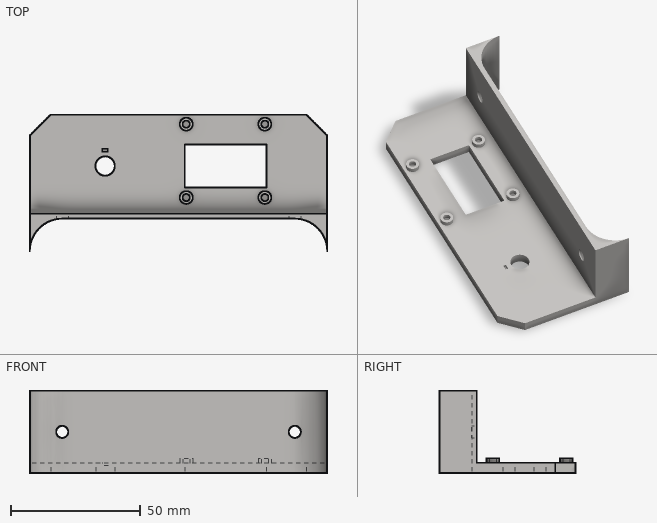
import cadquery as cq
import math

WIDTH = 115.0
DEPTH = 52.77
HEIGHT = 31.87

PLATE_THICKNESS = 4.0
PLATE_CHAMFER = 8.0

CORNER_RADIUS = 12.5
WALL_THICKNESS = 2.0
WALL_DEPTH = WALL_THICKNESS + CORNER_RADIUS
PLATE_DEPTH = DEPTH - WALL_DEPTH

MOUNT_HOLE_DIAMETER = 4.6
MOUNT_HOLE_SPACING = WIDTH - 2 * CORNER_RADIUS
MOUNT_HOLE_Z = HEIGHT / 2

WINDOW_LENGTH = 31.5
WINDOW_WIDTH = 16.6
DISPLAY_X = 18.2
WINDOW_Y = 18.4
BOSS_DIAMETER = 5.0
BOSS_BORE_DIAMETER = 2.8
BOSS_HEIGHT = 1.8
BOSS_SPACING_X = 30.4
BOSS_SPACING_Y = 28.4
BOSS_CENTRE_Y = 20.4

PANEL_HOLE_DIAMETER = 7.4
PANEL_HOLE_X = -28.4
PANEL_HOLE_Y = WINDOW_Y
POCKET_LENGTH = 2.1
POCKET_WIDTH = 1.1
POCKET_DEPTH = 1.0
POCKET_OFFSET = 6.1


def make_plate():
    """Flat plate with its two rear corners cut off."""
    plate = cq.Workplane("XY").box(WIDTH, PLATE_DEPTH, PLATE_THICKNESS, centered=(True, False, False))
    return plate.edges("|Z and >Y").chamfer(PLATE_CHAMFER)


def make_wall():
    """Full-height wall whose ends sweep forward to knife edges."""
    half_width = WIDTH / 2
    half_flat = half_width - CORNER_RADIUS
    arc_reach = CORNER_RADIUS * math.cos(math.pi / 4)
    arc_middle_x = half_flat + arc_reach
    arc_middle_y = arc_reach - WALL_DEPTH
    return (
        cq.Workplane("XY")
        .moveTo(-half_width, 0)
        .lineTo(-half_width, -WALL_DEPTH)
        .threePointArc((-arc_middle_x, arc_middle_y), (-half_flat, -WALL_THICKNESS))
        .lineTo(half_flat, -WALL_THICKNESS)
        .threePointArc((arc_middle_x, arc_middle_y), (half_width, -WALL_DEPTH))
        .lineTo(half_width, 0)
        .close()
        .extrude(HEIGHT)
    )


def make_mount_holes():
    """Cylinders along Y that pierce the wall."""
    half_spacing = MOUNT_HOLE_SPACING / 2
    return (
        cq.Workplane("XZ")
        .pushPoints([(-half_spacing, MOUNT_HOLE_Z), (half_spacing, MOUNT_HOLE_Z)])
        .circle(MOUNT_HOLE_DIAMETER / 2)
        .extrude(WALL_DEPTH)
    )


def make_boss_pattern(diameter):
    """One cylinder on top of the plate at each screw position."""
    return (
        cq.Workplane("XY", origin=(DISPLAY_X, BOSS_CENTRE_Y, PLATE_THICKNESS))
        .rarray(BOSS_SPACING_X, BOSS_SPACING_Y, 2, 2)
        .circle(diameter / 2)
        .extrude(BOSS_HEIGHT)
    )


def make_window():
    """Rectangular opening through the plate."""
    return (
        cq.Workplane("XY", origin=(DISPLAY_X, WINDOW_Y, 0))
        .rect(WINDOW_LENGTH, WINDOW_WIDTH)
        .extrude(PLATE_THICKNESS)
    )


def make_panel_hole():
    """Round opening through the plate."""
    return (
        cq.Workplane("XY", origin=(PANEL_HOLE_X, PANEL_HOLE_Y, 0))
        .circle(PANEL_HOLE_DIAMETER / 2)
        .extrude(PLATE_THICKNESS)
    )


def make_pocket():
    """Shallow rectangular pocket in the top of the plate."""
    return (
        cq.Workplane("XY", origin=(PANEL_HOLE_X, PANEL_HOLE_Y + POCKET_OFFSET, PLATE_THICKNESS))
        .rect(POCKET_LENGTH, POCKET_WIDTH)
        .extrude(-POCKET_DEPTH)
    )


result = make_plate().union(make_wall())
result = result.union(make_boss_pattern(BOSS_DIAMETER)).cut(make_boss_pattern(BOSS_BORE_DIAMETER))
result = result.cut(make_mount_holes())
result = result.cut(make_window()).cut(make_panel_hole()).cut(make_pocket())